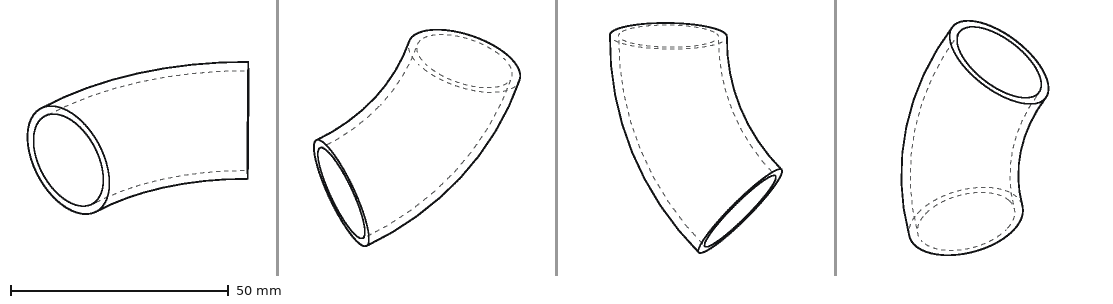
import cadquery as cq

outer_diameter = 26.9
wall_thickness = 2.0
bend_radius = 58.0
bend_angle = 45.0

inner_diameter = outer_diameter - 2 * wall_thickness


def make_elbow():
    """Sweep the tube's ring section about a bend axis parallel to Z, on the +X side."""
    ring = cq.Workplane("XZ").circle(outer_diameter / 2).circle(inner_diameter / 2)
    axis_start = (bend_radius, 0)
    axis_end = (bend_radius, -1)
    return ring.revolve(bend_angle, axis_start, axis_end)


result = make_elbow()